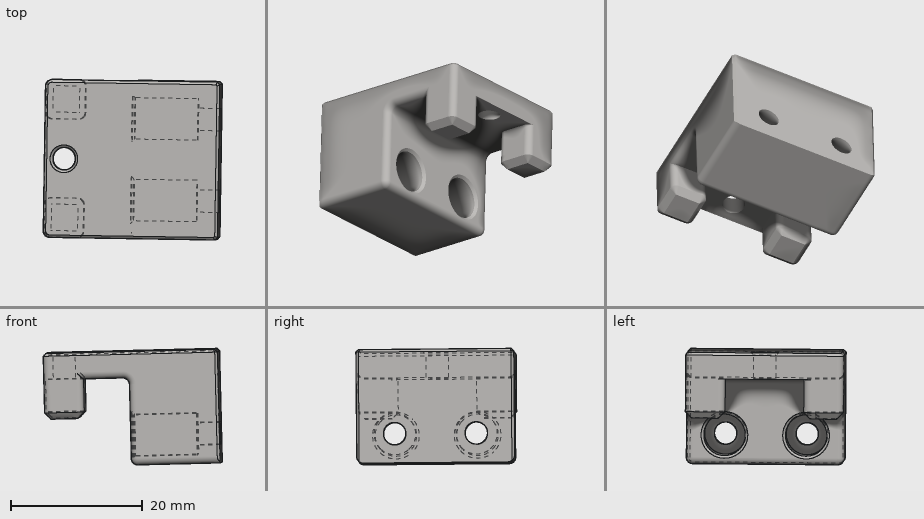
import cadquery as cq

LENGTH = 26.5
WIDTH = 24.0
HEIGHT = 17.26

ARM_THICKNESS = 6.0
SLOT_WIDTH = 7.0
CEILING_DEPTH = 4.0
ARM_HEIGHT = 10.0
NOTCH_WIDTH = 12.0

ROUND = 1.0
SLOT_CORNER_RADIUS = 1.0
FOOT_CHAMFER = 0.99
EDGE_CHAMFER = 0.4

SCREW_SPACING = 12.4
SCREW_HEIGHT = 4.45
SCREW_DIAMETER = 3.4
HEAD_DIAMETER = 6.3
HEAD_DEPTH = 10.0

TOP_HOLE_X = 3.0
TOP_HOLE_DIAMETER = 3.4

TILT_X = 0.5
TILT_Y = -1.4
TILT_Z = -0.9

BODY_X = ARM_THICKNESS + SLOT_WIDTH
CEILING_Z = HEIGHT - CEILING_DEPTH
FOOT_Z = HEIGHT - ARM_HEIGHT
HALF_WIDTH = WIDTH / 2
HALF_NOTCH = NOTCH_WIDTH / 2
TOLERANCE = 0.01


def edges_in_box(low, high):
    """Select edges whose centres lie inside the box between two corners."""
    low_corner = tuple(value - TOLERANCE for value in low)
    high_corner = tuple(value + TOLERANCE for value in high)
    return cq.selectors.BoxSelector(low_corner, high_corner)


def make_hook():
    """Side outline of body, roof and arm, extruded over the width, with the arm notched."""
    outline = [
        (0, FOOT_Z),
        (ARM_THICKNESS, FOOT_Z),
        (ARM_THICKNESS, CEILING_Z),
        (BODY_X, CEILING_Z),
        (BODY_X, 0),
        (LENGTH, 0),
        (LENGTH, HEIGHT),
        (0, HEIGHT),
    ]
    hook = cq.Workplane("XZ").polyline(outline).close().extrude(HALF_WIDTH, both=True)
    slot_corner = (BODY_X, 0, CEILING_Z)
    hook = hook.edges(edges_in_box(slot_corner, slot_corner)).fillet(SLOT_CORNER_RADIUS)
    notch = cq.Workplane("XY").box(
        ARM_THICKNESS, NOTCH_WIDTH, CEILING_Z, centered=(False, True, False)
    )
    return hook.cut(notch)


def chamfer_end_corners(hook):
    """Chamfer the two upright corners at the end of the body away from the arm."""
    return hook.edges("|Z and >X").chamfer(EDGE_CHAMFER)


def round_edges(hook):
    """Round the uprights of the arm, the slot mouths and the lower edges of the body."""
    rounded = edges_in_box((BODY_X, 0, 0), (BODY_X, 0, 0))
    for side in (-1, 1):
        face_y = side * HALF_WIDTH
        notch_y = side * HALF_NOTCH
        rounded += edges_in_box((0, face_y, FOOT_Z), (0, face_y, CEILING_Z))
        for arm_x in (0, ARM_THICKNESS):
            upright = (arm_x, notch_y, (FOOT_Z + CEILING_Z) / 2)
            rounded += edges_in_box(upright, upright)
        rounded += edges_in_box((ARM_THICKNESS, face_y, 0), (BODY_X, face_y, CEILING_Z))
        rounded += edges_in_box((BODY_X, face_y, 0), (LENGTH - ROUND, face_y, 0))
    return hook.edges(rounded).fillet(ROUND)


def chamfer_feet(part):
    """Chamfer all round the bottom face of each foot."""
    foot_faces = cq.selectors.BoxSelector(
        (0, -HALF_WIDTH, FOOT_Z - TOLERANCE),
        (ARM_THICKNESS, HALF_WIDTH, FOOT_Z + TOLERANCE),
    )
    return part.faces(foot_faces).chamfer(FOOT_CHAMFER)


def hole_cutter(diameter, depth):
    """Plain round cutter that starts at the origin and runs along +Z."""
    return cq.Workplane("XY").circle(diameter / 2).extrude(depth)


def mouth_cutter(diameter, chamfer):
    """Cone that breaks the mouth of a hole, narrowing by the chamfer along +Z."""
    mouth = cq.Workplane("XY").circle(diameter / 2 + chamfer)
    return mouth.workplane(offset=chamfer).circle(diameter / 2).loft()


def cut_screw_holes(part):
    """Counterbored screw holes that enter from the slot and leave at the end face."""
    cutter = hole_cutter(SCREW_DIAMETER, LENGTH - BODY_X)
    cutter = cutter.union(hole_cutter(HEAD_DIAMETER, HEAD_DEPTH))
    cutter = cutter.union(mouth_cutter(HEAD_DIAMETER, EDGE_CHAMFER))
    cutter = cutter.rotate((0, 0, 0), (0, 1, 0), 90)
    for side in (-1, 1):
        part = part.cut(cutter.translate((BODY_X, side * SCREW_SPACING / 2, SCREW_HEIGHT)))
    return part


def cut_top_hole(part):
    """Upright hole through the roof above the notch, chamfered at the top face."""
    cutter = hole_cutter(TOP_HOLE_DIAMETER, CEILING_DEPTH)
    cutter = cutter.union(mouth_cutter(TOP_HOLE_DIAMETER, EDGE_CHAMFER))
    cutter = cutter.rotate((0, 0, 0), (1, 0, 0), 180)
    return part.cut(cutter.translate((TOP_HOLE_X, 0, HEIGHT)))


def tilt(part):
    """Turn the finished part slightly about X, then Y, then Z."""
    origin = (0, 0, 0)
    part = part.rotate(origin, (1, 0, 0), TILT_X)
    part = part.rotate(origin, (0, 1, 0), TILT_Y)
    return part.rotate(origin, (0, 0, 1), TILT_Z)


part = make_hook()
part = chamfer_end_corners(part)
part = round_edges(part)
part = chamfer_feet(part)
part = part.faces(">Z").chamfer(EDGE_CHAMFER)
part = cut_screw_holes(part)
part = cut_top_hole(part)
result = tilt(part)